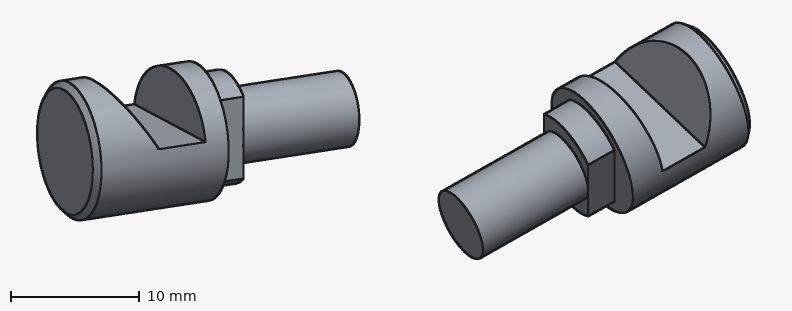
import cadquery as cq
import math

total_length = 24.0
head_diameter = 11.0
head_length = 11.5
head_chamfer = 0.5
collar_diameter = 9.0
collar_length = 2.5
shaft_diameter = 6.0
flat_width = shaft_diameter

notch_back = 9.07
notch_floor_width = 4.0
notch_floor_height = 1.0
notch_skew = 5.0
notch_wall_tilt = 30.0


def cylinder_along_y(diameter, start, length):
    """Cylinder on the Y axis, growing toward +Y from the given start."""
    return cq.Workplane("XZ", origin=(0, start, 0)).circle(diameter / 2).extrude(-length)


def make_head():
    return cylinder_along_y(head_diameter, 0, head_length).faces("<Y").chamfer(head_chamfer)


def make_collar():
    """Round collar with two parallel flats facing -X and +X."""
    disc = cylinder_along_y(collar_diameter, head_length, collar_length)
    flats = cq.Workplane("XY").box(flat_width, collar_length, collar_diameter)
    return disc.intersect(flats.translate((0, head_length + collar_length / 2, 0)))


def make_shaft():
    return cylinder_along_y(shaft_diameter, head_length, total_length - head_length)


def make_notch_cutter():
    """Prism with an upright back wall, a flat floor and a sloping front wall."""
    notch_top = head_diameter / 2
    slope_run = (notch_top - notch_floor_height) * math.tan(math.radians(notch_wall_tilt))
    cutter_length = 2 * head_diameter
    profile = [
        (0, notch_floor_height),
        (0, notch_top),
        (-notch_floor_width - slope_run, notch_top),
        (-notch_floor_width, notch_floor_height),
    ]
    prism = cq.Workplane("YZ").polyline(profile).close().extrude(cutter_length / 2, both=True)
    return prism.rotate((0, 0, 0), (0, 0, 1), notch_skew).translate((0, notch_back, 0))


result = make_head().cut(make_notch_cutter()).union(make_collar()).union(make_shaft())